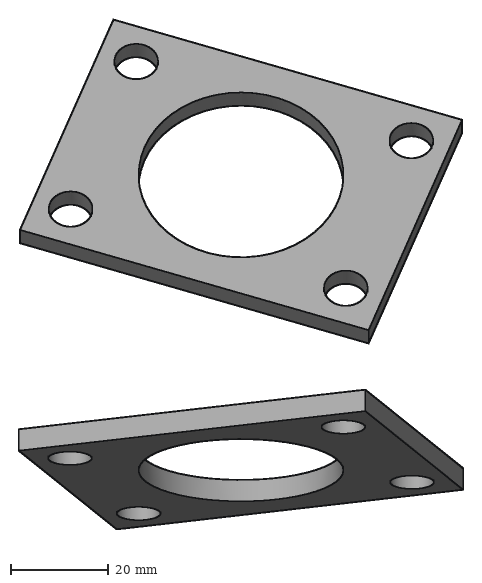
import cadquery as cq

length = 76.0
width = 57.0
thickness = 4.6

bore_diameter = 42.0
bolt_hole_diameter = 9.0
bolt_spacing_x = 60.0
bolt_spacing_y = 40.0

plate = cq.Workplane("XY").box(length, width, thickness)

plate = plate.faces(">Z").workplane().hole(bore_diameter)

result = (
    plate.faces(">Z")
    .workplane(origin=(0, 0, 0))
    .rect(bolt_spacing_x, bolt_spacing_y, forConstruction=True)
    .vertices()
    .hole(bolt_hole_diameter)
)